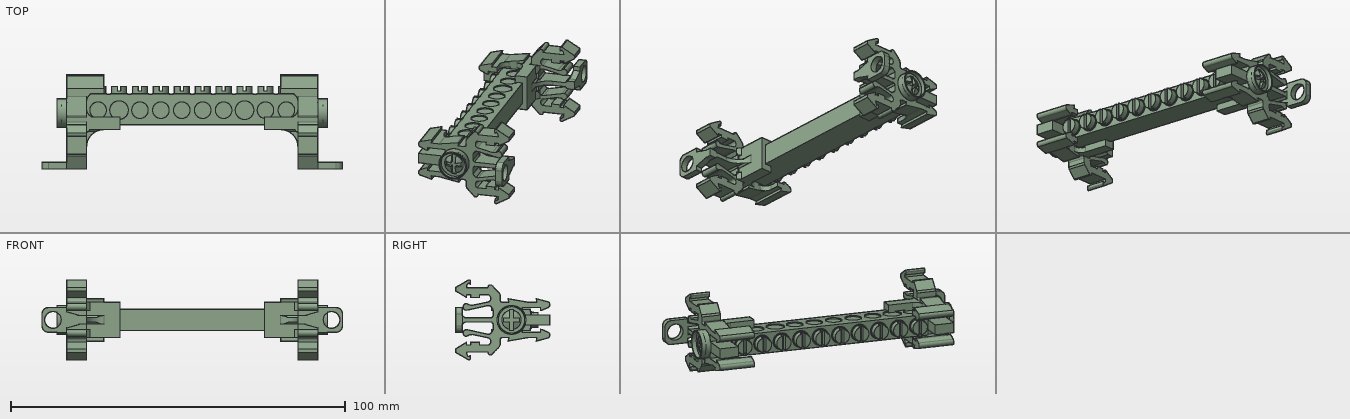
import cadquery as cq


half_length = 44.9
overall_height = 24.0
back_y = -16.7
front_y = 11.5

plate_outer_x = -37.6
plate_thickness = 6.0
plate_inner_x = plate_outer_x + plate_thickness

bar_end_x = plate_inner_x
bar_front_y = 5.7
bar_width = 9.2
bar_height = 6.5
hole_count = 10
hole_row_length = 56.3
hole_pitch = hole_row_length / (hole_count - 1)
hole_diameter = 4.9
large_hole_diameter = 5.6
large_hole_positions = (1, 7)
hole_depth = 0.4
hole_y = 0.9

clamp_diameter = 4.6
clamp_height = 2.3
clamp_collar_diameter = 5.1
clamp_collar_height = 0.3
clamp_slot_width = 0.9
clamp_slot_depth = 1.35

arm_inner_z = 3.7
arm_outer_z = 5.3
arm_barb_z = 6.4
arm_root_y = 3.2
arm_length_x = 11.15
tongue_half_height = 1.5
arm_window_front_y = 5.9
arm_window_radius = 2.3

hook_inner_z = 7.5
hook_step_z = 6.65
hook_outer_z = 9.6
hook_top_z = overall_height / 2
web_back_y = -5.5
spine_half_height = 0.67
spine_root_half_height = 1.3

foot_front_y = -14.65
foot_height = 7.5
foot_half_height = foot_height / 2
foot_corner_radius = 2.0
foot_shoulder_half_height = 2.4
foot_taper_end_x = -33.4
foot_hole_x = -41.6
foot_hole_diameter = 4.9

sleeve_end_x = -21.6
sleeve_front_y = -1.2
sleeve_back_y = -4.9
sleeve_half_height = arm_outer_z
sleeve_bevel = 1.0
sleeve_bevel_start_z = 2.9
gusset_radius = plate_outer_x + arm_length_x - plate_inner_x

screw_diameter = 8.6
screw_head_height = 2.9
screw_recess_diameter = 7.9
screw_recess_depth = 1.35
screw_cone_diameter = 5.75
screw_cone_height = screw_recess_depth
cross_depth = 1.8
cross_width = 1.3
cross_length_y = 4.7
cross_length_z = 6.3


def box(x_range, y_range, z_range):
    """Box between the given pairs of limits."""
    sizes = [high - low for low, high in (x_range, y_range, z_range)]
    corner = (x_range[0], y_range[0], z_range[0])
    return cq.Workplane("XY").box(*sizes, centered=False).translate(corner)


def along_x(profile, x_start, x_end):
    """Move a closed (Y, Z) profile to x_start and extrude it to x_end."""
    return profile.extrude(x_end - x_start).translate((x_start, 0, 0))


def with_mirror_z(solid):
    """Join a solid to its reflection in the plane Z = 0."""
    return solid.union(solid.mirror("XY"))


def arm_profile():
    """Upper front arm: rounded tip and one barb behind it."""
    return (
        cq.Workplane("YZ")
        .moveTo(sleeve_front_y, arm_inner_z)
        .lineTo(8.6, arm_inner_z)
        .lineTo(8.6, 2.8)
        .lineTo(9.2, 2.9)
        .lineTo(11.0, 3.7)
        .threePointArc((front_y, 4.6), (11.1, 5.4))
        .lineTo(7.4, arm_barb_z)
        .lineTo(7.55, arm_outer_z)
        .lineTo(sleeve_front_y, arm_outer_z)
        .close()
    )


def half_plate_profile():
    """Upper half of the plate: tongue root, arm barb, shoulder, snap hook, spring and spine."""
    return (
        cq.Workplane("YZ")
        .moveTo(arm_root_y, 0)
        .lineTo(arm_root_y, arm_outer_z)
        .lineTo(5.0, arm_outer_z)
        .lineTo(-0.6, 6.3)
        .lineTo(-1.1, arm_barb_z)
        .lineTo(-0.8, arm_outer_z)
        .lineTo(-2.7, arm_outer_z)
        .threePointArc((-3.15, 5.5), (-3.3, 5.9))
        .lineTo(-3.3, 7.4)
        .lineTo(-3.6, 8.0)
        .lineTo(-5.9, 10.4)
        .threePointArc((-6.7, 10.3), (-7.0, hook_outer_z))
        .lineTo(-13.3, hook_outer_z)
        .threePointArc((-13.2, 10.5), (-12.8, 11.0))
        .lineTo(-12.3, 10.6)
        .lineTo(-12.2, 11.5)
        .threePointArc((-12.4, 11.9), (-12.8, hook_top_z))
        .lineTo(back_y, 9.7)
        .lineTo(back_y, 8.6)
        .lineTo(-13.4, hook_step_z)
        .lineTo(-13.4, hook_inner_z)
        .lineTo(-12.2, hook_inner_z)
        .lineTo(-12.2, hook_step_z)
        .lineTo(-9.5, hook_step_z)
        .lineTo(-9.5, hook_inner_z)
        .lineTo(-6.8, hook_inner_z)
        .threePointArc((-6.2, 6.4), (-6.9, 5.4))
        .lineTo(-11.6, 4.4)
        .lineTo(-12.6, 4.5)
        .lineTo(-13.4, 4.9)
        .threePointArc((-14.5, 3.95), (-13.7, 2.9))
        .lineTo(-12.85, 3.0)
        .lineTo(-7.2, 4.2)
        .lineTo(-6.5, 4.2)
        .lineTo(web_back_y, 3.2)
        .lineTo(web_back_y, spine_root_half_height)
        .lineTo(-5.9, spine_half_height)
        .lineTo(-13.8, spine_half_height)
        .lineTo(foot_front_y, spine_root_half_height)
        .lineTo(foot_front_y, 0)
        .close()
    )


def make_plate():
    """Clip plate with the flat tongue between its arms."""
    upper = along_x(half_plate_profile(), plate_outer_x, plate_inner_x)
    tongue = box(
        (plate_outer_x, plate_inner_x),
        (0, front_y),
        (-tongue_half_height, tongue_half_height),
    )
    return with_mirror_z(upper).union(tongue)


def make_arms():
    """Front arms, longer than the plate is thick, with a window that clears the bar."""
    arm_end_x = plate_outer_x + arm_length_x
    arm = along_x(arm_profile(), plate_outer_x, arm_end_x)
    window = (
        box(
            (plate_inner_x, arm_end_x + 2 * arm_window_radius),
            (sleeve_front_y, arm_window_front_y),
            (0, arm_barb_z + 0.9),
        )
        .edges("|Z")
        .fillet(arm_window_radius)
    )
    return with_mirror_z(arm.cut(window))


def make_sleeve():
    """Block around the back of the bar, bevelled into the plate."""
    sleeve = box(
        (plate_inner_x, sleeve_end_x),
        (sleeve_back_y, sleeve_front_y),
        (-sleeve_half_height, sleeve_half_height),
    )
    bevel = (
        cq.Workplane("XY")
        .workplane(offset=sleeve_bevel_start_z)
        .moveTo(plate_inner_x, sleeve_back_y)
        .lineTo(plate_inner_x + sleeve_bevel, sleeve_back_y)
        .lineTo(plate_inner_x, sleeve_back_y - sleeve_bevel)
        .close()
        .extrude(sleeve_half_height - sleeve_bevel_start_z)
    )
    return sleeve.union(with_mirror_z(bevel))


def make_gusset():
    """Concave brace from the spine to the back of the sleeve, flared at the sleeve."""
    tip_x = plate_inner_x + gusset_radius
    root_y = sleeve_back_y - gusset_radius
    half_profile = (
        cq.Workplane("YZ")
        .moveTo(sleeve_back_y, 0)
        .lineTo(sleeve_back_y, spine_root_half_height)
        .lineTo(web_back_y, spine_half_height)
        .lineTo(root_y, spine_half_height)
        .lineTo(root_y, 0)
        .close()
    )
    brace = with_mirror_z(along_x(half_profile, plate_inner_x, tip_x))
    curve = (
        cq.Workplane("XY")
        .center(tip_x, root_y)
        .circle(gusset_radius)
        .extrude(2 * spine_root_half_height, both=True)
    )
    return brace.cut(curve)


def make_foot():
    """Screw-down lug outside the plate, tapering to the spine behind the plate."""
    half_outline = (
        cq.Workplane("XZ", origin=(0, foot_front_y, 0))
        .moveTo(-half_length, 0)
        .lineTo(-half_length, foot_half_height - foot_corner_radius)
        .radiusArc((-half_length + foot_corner_radius, foot_half_height), foot_corner_radius)
        .lineTo(plate_outer_x, foot_half_height)
        .lineTo(plate_outer_x, foot_shoulder_half_height)
        .lineTo(foot_taper_end_x, spine_root_half_height)
        .lineTo(plate_inner_x, spine_root_half_height)
        .lineTo(plate_inner_x, 0)
        .close()
    )
    foot = with_mirror_z(half_outline.extrude(foot_front_y - back_y))
    hole = (
        cq.Workplane("XZ", origin=(foot_hole_x, foot_front_y, 0))
        .circle(foot_hole_diameter / 2)
        .extrude(foot_front_y - back_y)
    )
    return foot.cut(hole)


def make_holder_screw():
    """Round head with a deep dish, and in the dish a low cone cut by a drive cross."""
    face_x = plate_outer_x - screw_head_height
    floor_x = face_x + screw_recess_depth
    head = along_x(cq.Workplane("YZ").circle(screw_diameter / 2), face_x, plate_outer_x)
    dish = along_x(cq.Workplane("YZ").circle(screw_recess_diameter / 2), face_x, floor_x)
    cone = cq.Workplane("XY").add(
        cq.Solid.makeCone(
            screw_cone_diameter / 2,
            0,
            screw_cone_height,
            pnt=cq.Vector(floor_x, 0, 0),
            dir=cq.Vector(-1, 0, 0),
        )
    )
    cross = (
        cq.Workplane("YZ")
        .rect(cross_length_y, cross_width)
        .extrude(cross_depth)
        .union(cq.Workplane("YZ").rect(cross_width, cross_length_z).extrude(cross_depth))
        .translate((face_x, 0, 0))
    )
    return head.cut(dish).union(cone).cut(cross)


def make_holder():
    """Complete holder for the -X end of the bar."""
    return (
        make_plate()
        .union(make_arms())
        .union(make_sleeve())
        .union(make_gusset())
        .union(make_foot())
        .union(make_holder_screw())
    )


def make_clamp_screw(x):
    """Slotted screw with a thin collar, standing on the front of the bar."""
    base = cq.Workplane("XZ", origin=(x, bar_front_y, 0))
    collar = base.circle(clamp_collar_diameter / 2).extrude(-clamp_collar_height)
    head = base.circle(clamp_diameter / 2).extrude(-clamp_height)
    top_y = bar_front_y + clamp_height
    slot = box(
        (x - clamp_slot_width / 2, x + clamp_slot_width / 2),
        (top_y - clamp_slot_depth, top_y),
        (-clamp_diameter / 2, clamp_diameter / 2),
    )
    return collar.union(head).cut(slot)


def make_bar():
    """Bar with a row of shallow wire holes and one clamping screw for each hole."""
    bar = box(
        (bar_end_x, -bar_end_x),
        (bar_front_y - bar_width, bar_front_y),
        (-bar_height / 2, bar_height / 2),
    )
    for position in range(hole_count):
        x = (position - (hole_count - 1) / 2) * hole_pitch
        diameter = large_hole_diameter if position in large_hole_positions else hole_diameter
        hole = (
            cq.Workplane("XY", origin=(x, hole_y, bar_height / 2))
            .circle(diameter / 2)
            .extrude(-hole_depth)
        )
        bar = bar.cut(hole).union(make_clamp_screw(x))
    return bar


holder = make_holder()
result = make_bar().union(holder).union(holder.mirror("YZ"))